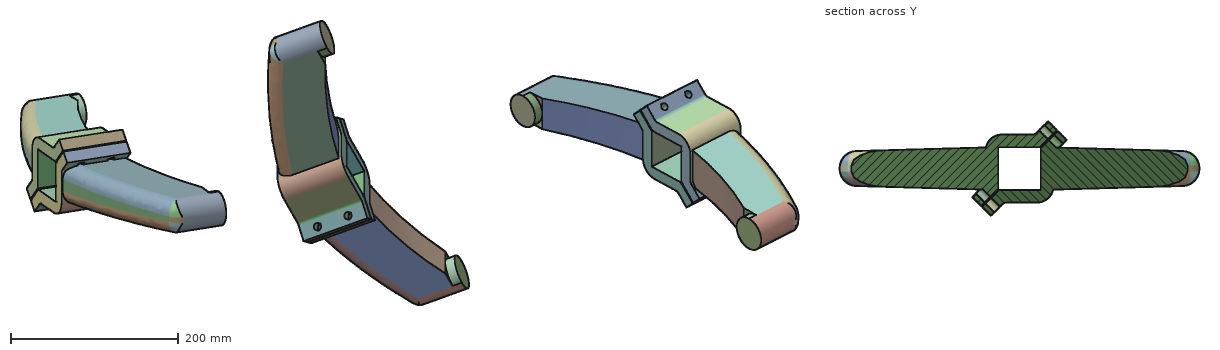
import cadquery as cq
import math

SPAN = 430.0
TIP_BACK_Y = 135.0

BORE = 50.7
WALL = 15.5
CLAMP_DEPTH = 84.0
SPLIT_GAP = 1.5
CORNER_RADIUS = 20.0
FLANGE_REACH = 64.0
FLANGE_THICKNESS = 15.0
FLANGE_FILLET = 5.0
BOLT_DIAMETER = 9.0
BOLT_SPACING = 40.0
BOLT_REACH = 53.5

TIP_RADIUS = 21.0
TAPER_ANGLE = 1.6
EDGE_RADIUS = 17.5
PLAN_CORNER_RADIUS = 19.8
PLAN_CORNER_Y = 69.5
FRONT_MID = (-124.5, 27.0)
FRONT_ROOT_Y = 1.0
BACK_MID = (-109.5, 97.0)
BACK_ROOT_Y = 79.5
SHOULDER_Y = 123.0
BOSS_EMBED = 8.5
ROOT_EMBED = 4.0

HALF_SPAN = SPAN / 2
HALF_DEPTH = CLAMP_DEPTH / 2
HALF_OUTER = BORE / 2 + WALL
CREASE = HALF_OUTER - math.sqrt(2) * (FLANGE_THICKNESS + SPLIT_GAP / 2)
SPLIT_ANGLE = -45
ORIGIN = (0, 0, 0)
Y_AXIS = (0, 1, 0)

ROOT_X = -HALF_OUTER + ROOT_EMBED
BOSS_X = -HALF_SPAN + TIP_RADIUS
TAPER = math.radians(TAPER_ANGLE)
TANGENT_X = BOSS_X - TIP_RADIUS * math.sin(TAPER)
TANGENT_Z = TIP_RADIUS * math.cos(TAPER)


def half_height(x):
    """Half height of the tapered part of the arm at x."""
    return TANGENT_Z + (x - TANGENT_X) * math.tan(TAPER)


def along_y(profile, start, end):
    """Extrude an XZ sketch from y = start to y = end."""
    return profile.extrude(start - end).translate((0, start, 0))


def bolt_holes():
    """Four holes square to the split plane, two through each pair of flanges."""
    places = [
        (side * BOLT_REACH, HALF_DEPTH + row * BOLT_SPACING / 2)
        for side in (-1, 1)
        for row in (-1, 1)
    ]
    holes = cq.Workplane("XY").pushPoints(places).circle(BOLT_DIAMETER / 2)
    return holes.extrude(2 * FLANGE_THICKNESS, both=True).rotate(ORIGIN, Y_AXIS, SPLIT_ANGLE)


def clamp_half():
    """Upper-left half of the clamp with its two bolt flanges."""
    tube = along_y(cq.Workplane("XZ").rect(2 * HALF_OUTER, 2 * HALF_OUTER), 0, CLAMP_DEPTH)
    tube = tube.edges("|Y").edges("<(1, 0, -1)").fillet(CORNER_RADIUS)
    flanges = (
        cq.Workplane("XY")
        .box(2 * FLANGE_REACH, CLAMP_DEPTH, SPLIT_GAP + 2 * FLANGE_THICKNESS)
        .translate((0, HALF_DEPTH, 0))
        .rotate(ORIGIN, Y_AXIS, SPLIT_ANGLE)
    )
    bore = along_y(cq.Workplane("XZ").rect(BORE, BORE), 0, CLAMP_DEPTH)
    upper_left = (
        cq.Workplane("XY", origin=(0, HALF_DEPTH, SPLIT_GAP / 2))
        .rect(2 * FLANGE_REACH, CLAMP_DEPTH)
        .extrude(FLANGE_REACH)
        .rotate(ORIGIN, Y_AXIS, SPLIT_ANGLE)
    )
    half = tube.union(flanges).cut(bore).intersect(upper_left)
    for point in ((CREASE, HALF_DEPTH, HALF_OUTER), (-HALF_OUTER, HALF_DEPTH, -CREASE)):
        half = half.edges(cq.selectors.NearestToPointSelector(point)).fillet(FLANGE_FILLET)
    return half.cut(bolt_holes())


def arm_plan():
    """Curved plan shape of the left arm, taller than the arm."""
    plan = (
        cq.Workplane("XY")
        .moveTo(ROOT_X, FRONT_ROOT_Y)
        .threePointArc(FRONT_MID, (-HALF_SPAN, PLAN_CORNER_Y))
        .lineTo(-HALF_SPAN, TIP_BACK_Y)
        .lineTo(BOSS_X, TIP_BACK_Y)
        .lineTo(BOSS_X, SHOULDER_Y)
        .lineTo(BOSS_X + TIP_RADIUS, SHOULDER_Y)
        .threePointArc(BACK_MID, (ROOT_X, BACK_ROOT_Y))
        .close()
        .extrude(2 * half_height(ROOT_X), both=True)
    )
    return plan.edges("|Z").edges("<X").edges("<Y").fillet(PLAN_CORNER_RADIUS)


def arm():
    """Left arm with rounded front edges, a fully rounded tip and a round boss at the back."""
    root_height = half_height(ROOT_X)
    end_height = half_height(-HALF_SPAN)
    wedge = (
        cq.Workplane("XZ")
        .moveTo(ROOT_X, -root_height)
        .lineTo(ROOT_X, root_height)
        .lineTo(-HALF_SPAN, end_height)
        .lineTo(-HALF_SPAN, -end_height)
        .close()
    )
    bar = arm_plan().intersect(along_y(wedge, 0, TIP_BACK_Y))
    bar = bar.faces("<X").edges(">Z or <Z").fillet(EDGE_RADIUS)

    rounded_wedge = (
        cq.Workplane("XZ")
        .moveTo(ROOT_X, -root_height)
        .lineTo(ROOT_X, root_height)
        .lineTo(TANGENT_X, TANGENT_Z)
        .threePointArc((-HALF_SPAN, 0), (TANGENT_X, -TANGENT_Z))
        .close()
    )
    bar = bar.intersect(along_y(rounded_wedge, 0, TIP_BACK_Y))
    boss = cq.Workplane("XZ").center(BOSS_X, 0).circle(TIP_RADIUS)
    return bar.union(along_y(boss, SHOULDER_Y - BOSS_EMBED, TIP_BACK_Y))


def handle_half():
    """Left arm and the clamp half it carries, as one solid."""
    return clamp_half().union(arm())


half = handle_half()
handles = [half.rotate(ORIGIN, Y_AXIS, angle) for angle in (0, 180)]

result = cq.Compound.makeCompound([handle.val() for handle in handles])